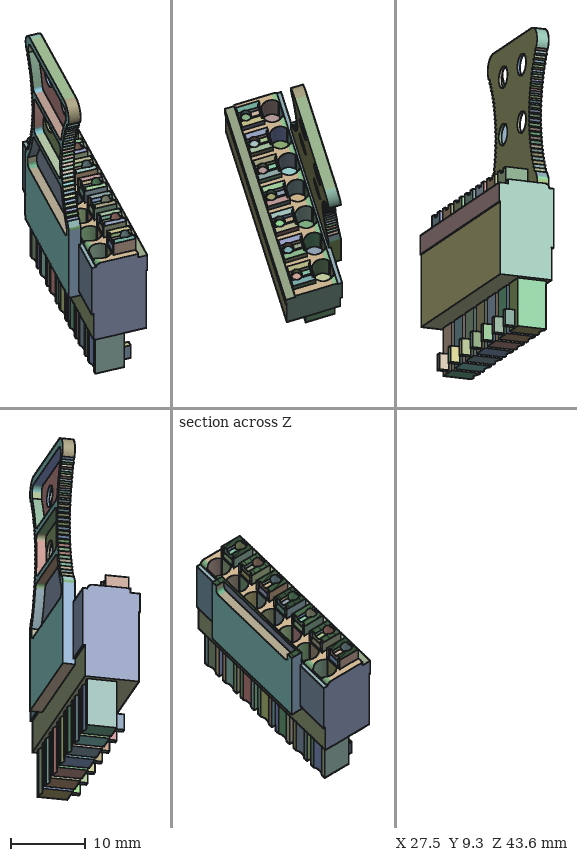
import cadquery as cq
import math


pole_count = 7
pitch = 3.81
pole_positions = [(i - (pole_count - 1) / 2) * pitch for i in range(pole_count)]

housing_width = 27.46
housing_bottom = 6.68
housing_top = 20.0
ledge_top = 19.4
front_step_depth = 0.28
front_step_bottom = 11.2
back_face = 7.47
back_lip_face = 7.6
back_lip_bottom = 16.75
top_edge_radius = 0.75
top_edge_start = 1.05
top_edge_centre_z = housing_top - top_edge_radius
front_ledge_back = top_edge_start - math.sqrt(top_edge_radius**2 - (ledge_top - top_edge_centre_z) ** 2)

socket_width = 3.05
socket_front = 0.5
socket_back = 4.6
groove_width = 1.7
groove_depth = 0.27
latch_width = 0.8
latch_bottom = 0.32
latch_top = 2.55
latch_back = 5.92

entry_diameter = 3.05
entry_y = 1.71
entry_front = 0.4
entry_back = 3.02
entry_slot_width = 2.0
entry_depth = 8.0

button_width = 2.8
button_front = 3.13
button_back = 6.3
button_top = 21.97
button_bottom = housing_top - entry_depth
recess_width = entry_slot_width
recess_depth = 0.27
recess_slope_top = 20.8
recess_slope_bottom = 20.1
notch_top_width = 1.2
notch_floor_width = 0.66
notch_depth = 0.45
test_hole_diameter = 1.45
test_hole_y = 5.35
test_hole_depth = 2.0

handle_thickness = 1.7
handle_half_width = 8.6
handle_bottom = 10.43
handle_top = 43.6
shoulder_z = 22.38
shoulder_radius = 0.8
corner_radius = 2.0
corner_undercut = math.radians(35)

waist_z = 31.57
waist_half_width = 6.0
tooth_tip_radius = 17.8
tooth_height = 0.35
tooth_root_radius = tooth_tip_radius + tooth_height
tooth_count = 28
tooth_angle = math.radians(2.03)
flank_centre_x = waist_half_width + tooth_tip_radius

rim = 1.2
pocket_depth = 1.3
pocket_flank_radius = 18.75
pocket_corner_radius = 0.6
top_pocket_corner_radius = corner_radius - rim
top_pocket_bottom = 35.4
middle_pocket_top = 34.45
middle_pocket_bottom = 28.4
lower_pocket_top = 27.5
lower_pocket_bottom = 20.4
lower_pocket_half_width = 7.7
finger_hole_diameter = 2.95
finger_hole_spacing = 6.44
finger_hole_heights = (31.46, 39.43)


def box(x_size, y_range, z_range, x=0):
    """A block centred on x, between two Y planes and two Z planes."""
    y_low, y_high = y_range
    z_low, z_high = z_range
    return (
        cq.Workplane("XY")
        .box(x_size, y_high - y_low, z_high - z_low, centered=(True, False, False))
        .translate((x, y_low, z_low))
    )


def cylinder(diameter, x, y, z_range):
    """A vertical cylinder."""
    z_low, z_high = z_range
    return cq.Workplane("XY", origin=(x, y, z_low)).circle(diameter / 2).extrude(z_high - z_low)


def housing_block():
    """The housing side profile, run across the full width."""
    profile = (
        cq.Workplane("YZ")
        .moveTo(0, housing_bottom)
        .lineTo(0, front_step_bottom)
        .lineTo(-front_step_depth, front_step_bottom)
        .lineTo(-front_step_depth, ledge_top)
        .lineTo(front_ledge_back, ledge_top)
        .radiusArc((top_edge_start, housing_top), top_edge_radius)
        .lineTo(button_back, housing_top)
        .lineTo(button_back, ledge_top)
        .lineTo(back_lip_face, ledge_top)
        .lineTo(back_lip_face, back_lip_bottom)
        .lineTo(back_face, back_lip_bottom)
        .lineTo(back_face, housing_bottom)
        .close()
    )
    return profile.extrude(housing_width / 2, both=True)


def socket(x):
    """A contact socket with a rounded groove down its front and a latch nub on its back."""
    body = box(socket_width, (socket_front, socket_back), (0, housing_bottom), x)
    groove_radius = ((groove_width / 2) ** 2 + groove_depth**2) / (2 * groove_depth)
    groove_y = socket_front + groove_depth - groove_radius
    groove = cylinder(2 * groove_radius, x, groove_y, (0, housing_bottom))
    latch = box(latch_width, (socket_back, latch_back), (latch_bottom, latch_top), x)
    return body.cut(groove).union(latch)


def wire_entry(x):
    """A round wire entry, flat at the front and back, merged with a slot of the same length."""
    z_range = (button_bottom, housing_top)
    round_part = cylinder(entry_diameter, x, entry_y, z_range)
    flat_limit = box(entry_diameter, (entry_front, entry_back), z_range, x)
    slot = box(entry_slot_width, (entry_front, entry_back), z_range, x)
    return round_part.intersect(flat_limit).union(slot)


def button_pocket(x):
    return box(button_width, (button_front, button_back), (button_bottom, housing_top), x)


def make_housing():
    body = housing_block()
    handle_seat = box(
        2 * handle_half_width, (-front_step_depth, 0), (front_step_bottom, ledge_top)
    )
    body = body.cut(handle_seat)
    for x in pole_positions:
        body = body.union(socket(x))
        body = body.cut(wire_entry(x)).cut(button_pocket(x))
    return body


def make_button(x):
    """A release button with a sloped front recess, a screwdriver notch and a test hole."""
    body = box(button_width, (button_front, button_back), (button_bottom, button_top), x)
    recess_back = button_front + recess_depth
    recess = (
        cq.Workplane("YZ", origin=(x, 0, 0))
        .moveTo(button_front, recess_slope_bottom)
        .lineTo(recess_back, recess_slope_top)
        .lineTo(recess_back, button_top)
        .lineTo(button_front, button_top)
        .close()
        .extrude(recess_width / 2, both=True)
    )
    notch_floor = button_top - notch_depth
    notch = (
        cq.Workplane("XZ", origin=(x, button_front, 0))
        .moveTo(-notch_top_width / 2, button_top)
        .lineTo(-notch_floor_width / 2, notch_floor)
        .lineTo(notch_floor_width / 2, notch_floor)
        .lineTo(notch_top_width / 2, button_top)
        .close()
        .extrude(button_front - button_back)
    )
    test_hole_range = (button_top - test_hole_depth, button_top)
    test_hole = cylinder(test_hole_diameter, x, test_hole_y, test_hole_range)
    return body.cut(recess).cut(notch).cut(test_hole)


def flank_point(radius, angle):
    """A point on the right flank, at an angle above the waist."""
    return (flank_centre_x - radius * math.cos(angle), waist_z + radius * math.sin(angle))


def flank_point_at(radius, z):
    """The point at height z on a right flank arc."""
    return flank_point(radius, math.asin((z - waist_z) / radius))


def mirrored(point):
    return (-point[0], point[1])


def tooth_points():
    """Grip teeth down the right flank: roots and tips in turn, ending on the last tip."""
    points = []
    for i in range(tooth_count):
        root_angle = (tooth_count / 2 - i) * tooth_angle
        points.append(flank_point(tooth_root_radius, root_angle))
        points.append(flank_point(tooth_tip_radius, root_angle - tooth_angle / 2))
    return points


def handle_plate():
    """The handle outline: straight base, toothed waist and two round top corners."""
    corner_x = handle_half_width - corner_radius
    corner_z = handle_top - corner_radius
    corner_mid = (corner_x + corner_radius * math.cos(math.pi / 8),
                  corner_z + corner_radius * math.sin(math.pi / 8))
    corner_start = (corner_x, handle_top)
    corner_end = (corner_x + corner_radius * math.cos(corner_undercut),
                  corner_z - corner_radius * math.sin(corner_undercut))
    right_side = tooth_points() + [
        (handle_half_width, shoulder_z),
        (handle_half_width, handle_bottom),
    ]
    left_side = [mirrored(point) for point in reversed(right_side)]
    outline = (
        cq.Workplane("XZ")
        .moveTo(*mirrored(corner_start))
        .lineTo(*corner_start)
        .threePointArc(corner_mid, corner_end)
    )
    for point in right_side + left_side + [mirrored(corner_end)]:
        outline = outline.lineTo(*point)
    outline = outline.threePointArc(mirrored(corner_mid), mirrored(corner_start)).close()
    plate = outline.extrude(handle_thickness)
    for shoulder_x in (-handle_half_width, handle_half_width):
        shoulder = cq.selectors.NearestToPointSelector((shoulder_x, -handle_thickness / 2, shoulder_z))
        plate = plate.edges(shoulder).fillet(shoulder_radius)
    return plate


def waisted_pocket(bottom, top):
    """A pocket with level ends, whose sides follow the flanks of the handle."""
    lower = flank_point_at(pocket_flank_radius, bottom)
    middle = flank_point_at(pocket_flank_radius, (bottom + top) / 2)
    upper = flank_point_at(pocket_flank_radius, top)
    return (
        cq.Workplane("XZ", origin=(0, pocket_depth - handle_thickness, 0))
        .moveTo(*mirrored(lower))
        .lineTo(*lower)
        .threePointArc(middle, upper)
        .lineTo(*mirrored(upper))
        .threePointArc(mirrored(middle), mirrored(lower))
        .close()
        .extrude(pocket_depth)
    )


def top_pocket():
    pocket = waisted_pocket(top_pocket_bottom, handle_top - rim)
    limit = box(
        2 * (handle_half_width - rim),
        (-handle_thickness, 0),
        (top_pocket_bottom, handle_top - rim),
    )
    pocket = pocket.intersect(limit)
    pocket = pocket.edges("|Y").edges("<Z").fillet(pocket_corner_radius)
    return pocket.edges("|Y").edges(">Z").fillet(top_pocket_corner_radius)


def middle_pocket():
    pocket = waisted_pocket(middle_pocket_bottom, middle_pocket_top)
    return pocket.edges("|Y").fillet(pocket_corner_radius)


def lower_pocket():
    pocket = waisted_pocket(lower_pocket_bottom, lower_pocket_top)
    limit = box(
        2 * lower_pocket_half_width,
        (-handle_thickness, 0),
        (lower_pocket_bottom, lower_pocket_top),
    )
    pocket = pocket.intersect(limit)
    return pocket.edges("|Y").edges("<Z or >Z").fillet(pocket_corner_radius)


def finger_holes():
    centres = [(side * finger_hole_spacing / 2, z) for side in (-1, 1) for z in finger_hole_heights]
    return (
        cq.Workplane("XZ")
        .pushPoints(centres)
        .circle(finger_hole_diameter / 2)
        .extrude(handle_thickness)
    )


def make_handle():
    body = handle_plate()
    for pocket in (top_pocket(), middle_pocket(), lower_pocket()):
        body = body.cut(pocket)
    return body.cut(finger_holes())


housing = make_housing()
handle = make_handle()
buttons = [make_button(x) for x in pole_positions]

result = cq.Compound.makeCompound(
    [housing.val(), handle.val(), *[button.val() for button in buttons]]
)